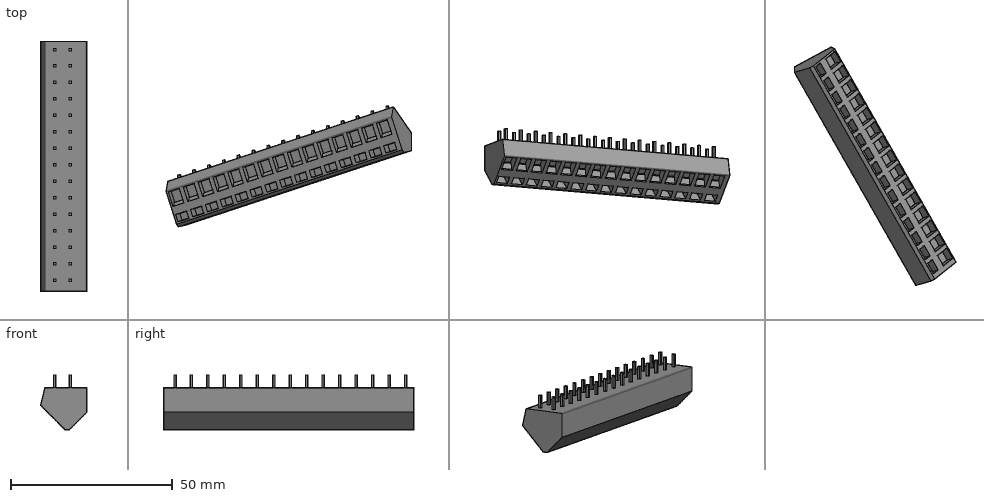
import cadquery as cq
import math

LENGTH = 77.2
WIDTH = 14.3
HOUSING_HEIGHT = 13.05
TOTAL_HEIGHT = 17.0
SHOULDER_INSET = 1.3
SHOULDER_HEIGHT = 7.6
TIP_START = SHOULDER_HEIGHT
TIP_WIDTH = 1.3
EDGE_RADIUS = 0.2

POLES = 15
POLE_SPAN = 71.2
PITCH = POLE_SPAN / (POLES - 1)
FIRST_POLE_Y = LENGTH / 2 - PITCH / 2
PIN_SIDE = 0.8
PIN_ROWS = (4.3, 9.2)

OPENING_WIDTH = 3.7
WIRE_BOTTOM = 0.5
WIRE_TOP = 2.1
WIRE_RUN = 3.1
LEVER_BOTTOM = 3.9
LEVER_TOP = 7.25
LIP_RUN = 0.5
FLAT_HEIGHT = 1.9
FLAT_LEAN = 0.4
STEP_RUN = 0.4

pole_ys = [FIRST_POLE_Y - i * PITCH for i in range(POLES)]


def on_wiring_face(z):
    """Point of the 45 degree wiring face at height z."""
    return (TIP_START - z, z)


def inward(point, run):
    """Point moved squarely into the wiring face by run along both X and Z."""
    return (point[0] + run, point[1] + run)


def prism(points, width, y_center):
    """XZ outline extruded symmetrically about y_center."""
    plane = cq.Workplane("XZ", origin=(0, y_center, 0))
    return plane.polyline(points).close().extrude(width / 2, both=True)


def shoulder_trim():
    """Width lost where the -X shoulder corner is rounded."""
    lean = math.atan2(SHOULDER_INSET, HOUSING_HEIGHT - SHOULDER_HEIGHT)
    slope = math.radians(45)
    half_turn = (slope + lean) / 2
    tilt = (slope - lean) / 2
    return EDGE_RADIUS * (math.cos(tilt) / math.cos(half_turn) - 1)


def make_housing():
    right = WIDTH + shoulder_trim()
    tip_end = TIP_START + TIP_WIDTH
    outline = [
        (TIP_START, 0),
        (tip_end, 0),
        (right, right - tip_end),
        (right, HOUSING_HEIGHT),
        (SHOULDER_INSET, HOUSING_HEIGHT),
        (0, SHOULDER_HEIGHT),
    ]
    housing = prism(outline, LENGTH, 0)
    upper_edges = housing.edges("|Y and (>Z or <X)")
    return upper_edges.fillet(EDGE_RADIUS)


def make_pins():
    centers = [(x, y) for x in PIN_ROWS for y in pole_ys]
    plane = cq.Workplane("XY", origin=(0, 0, HOUSING_HEIGHT))
    pins = plane.pushPoints(centers).rect(PIN_SIDE, PIN_SIDE)
    return pins.extrude(TOTAL_HEIGHT - HOUSING_HEIGHT)


def make_wire_entry(y):
    bottom = on_wiring_face(WIRE_BOTTOM)
    top = on_wiring_face(WIRE_TOP)
    outline = [bottom, inward(bottom, WIRE_RUN), inward(top, WIRE_RUN), top]
    return prism(outline, OPENING_WIDTH, y)


def make_lever_pocket(y):
    bottom = on_wiring_face(LEVER_BOTTOM)
    top = on_wiring_face(LEVER_TOP)
    flat_bottom = inward(bottom, LIP_RUN)
    flat_top = (flat_bottom[0] + FLAT_LEAN, flat_bottom[1] + FLAT_HEIGHT)
    floor_low = inward(flat_top, STEP_RUN)
    floor_run = (floor_low[0] + floor_low[1] - SHOULDER_HEIGHT) / 2
    outline = [bottom, flat_bottom, flat_top, floor_low, inward(top, floor_run), top]
    return prism(outline, OPENING_WIDTH, y)


result = make_housing().union(make_pins())
for pole_y in pole_ys:
    result = result.cut(make_wire_entry(pole_y)).cut(make_lever_pocket(pole_y))